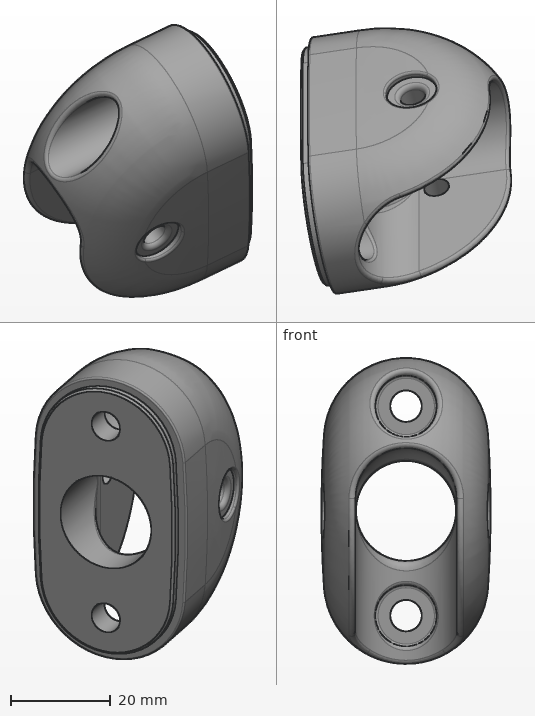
import cadquery as cq
import math

half_height = 30.7
end_radius = 16.5
side_arc_half_height = 15.3

plinth_inset = 1.85
plinth_depth = 1.85
plinth_chamfer = 0.5
back_edge_fillet = 0.35
dome_depth = 11.7

bore_radius = 10.0
channel_radius = 10.15
channel_axis_depth = 19.3
channel_top_center = 2.45
bore_to_channel_fillet = 1.95
rim_fillet = 0.8

screw_spacing = 42.0
screw_hole_diameter = 6.25
screw_recess_diameter = 12.3
screw_recess_floor_depth = 6.15
screw_recess_floor_fillet = 0.5

set_screw_depth = 22.9
set_screw_diameter = 5.05
set_screw_recess_diameter = 10.2
set_screw_recess_x = 15.35
set_screw_hole_fillet = 1.05
set_screw_rim_fillet = 0.5

end_center = half_height - end_radius
tangent_angle = math.asin((side_arc_half_height - end_center) / end_radius)
joint_x = end_radius * math.cos(tangent_angle)
side_radius = side_arc_half_height / math.sin(tangent_angle)
side_center_x = joint_x - side_radius * math.cos(tangent_angle)
half_width = side_center_x + side_radius

screw_heights = (screw_spacing / 2, -screw_spacing / 2)
cut_reach = 2 * half_height


def make_outline(depth):
    """Oval of two end arcs and two bowed sides, in the XZ plane."""
    joint_z = side_arc_half_height
    return (
        cq.Workplane("XZ", origin=(0, -depth, 0))
        .moveTo(joint_x, -joint_z)
        .threePointArc((half_width, 0), (joint_x, joint_z))
        .threePointArc((0, half_height), (-joint_x, joint_z))
        .threePointArc((-half_width, 0), (-joint_x, -joint_z))
        .threePointArc((0, -half_height), (joint_x, -joint_z))
        .close()
    )


def make_plinth():
    """Smaller step against the wall, following the outline at a constant inset."""
    plinth = make_outline(0).offset2D(-plinth_inset).extrude(plinth_depth)
    return plinth.faces(">Y").edges().chamfer(plinth_chamfer)


def make_band():
    """Straight-walled part of the housing."""
    band = make_outline(plinth_depth).extrude(dome_depth - plinth_depth)
    return band.faces(">Y").edges().fillet(back_edge_fillet)


def make_dome():
    """Upper half of the outline turned half a revolution about the X direction."""
    joint_z = side_arc_half_height
    side_mid_x = side_center_x + side_radius * math.cos(tangent_angle / 2)
    side_mid_z = side_radius * math.sin(tangent_angle / 2)
    return (
        cq.Workplane("XZ", origin=(0, -dome_depth, 0))
        .moveTo(half_width, 0)
        .threePointArc((side_mid_x, side_mid_z), (joint_x, joint_z))
        .threePointArc((0, half_height), (-joint_x, joint_z))
        .threePointArc((-side_mid_x, side_mid_z), (-half_width, 0))
        .close()
        .revolve(180, (0, 0, 0), (1, 0, 0))
    )


def make_rod(radius, start_depth, end_depth, z=0):
    """Cylinder along Y between two depths."""
    return (
        cq.Workplane("XZ", origin=(0, -start_depth, z))
        .circle(radius)
        .extrude(end_depth - start_depth)
    )


def make_channel():
    """Vertical channel with a spherical top, opened towards -Y by an arched slot."""
    axis = cq.Workplane("XY", origin=(0, -channel_axis_depth, channel_top_center))
    tube = axis.circle(channel_radius).extrude(-cut_reach)
    end = axis.sphere(channel_radius)
    slot = (
        cq.Workplane("XZ", origin=(0, -channel_axis_depth, channel_top_center))
        .moveTo(channel_radius, 0)
        .threePointArc((0, channel_radius), (-channel_radius, 0))
        .lineTo(-channel_radius, -cut_reach)
        .lineTo(channel_radius, -cut_reach)
        .close()
        .extrude(cut_reach)
    )
    return tube.union(end).union(slot)


def make_passage(channel):
    """Channel joined to the wall bore, with the edge between them rounded."""
    bore = make_rod(bore_radius, 0, channel_axis_depth)
    return channel.union(bore).edges("%BSPLINE").fillet(bore_to_channel_fillet)


def make_screw_recess(z):
    """Pocket for a wall screw head, rounded at the edge of its flat floor."""
    recess = make_rod(screw_recess_diameter / 2, screw_recess_floor_depth, cut_reach, z)
    return recess.faces(">Y").edges().fillet(screw_recess_floor_fillet)


def make_set_screw_cutter():
    """Hole along +X that flares smoothly into the floor of its recess."""
    hole_plane = cq.Workplane("YZ", origin=(0, -set_screw_depth, 0))
    hole = hole_plane.circle(set_screw_diameter / 2).extrude(set_screw_recess_x)
    recess = (
        hole_plane.workplane(offset=set_screw_recess_x)
        .circle(set_screw_recess_diameter / 2)
        .extrude(cut_reach)
    )
    floor_edge = cq.selectors.RadiusNthSelector(0)
    return hole.union(recess).faces("<X[1]").edges(floor_edge).fillet(set_screw_hole_fillet)


def cut_front_openings(part, channel):
    """Channel mouth and screw recesses; their curved rims are the only spline edges."""
    part = part.cut(channel)
    for z in screw_heights:
        part = part.cut(make_screw_recess(z))
    return part.edges("%BSPLINE").fillet(rim_fillet)


def cut_set_screws(part):
    """Set screw holes through both cheeks, with rounded recess rims."""
    cutter = make_set_screw_cutter()
    part = part.cut(cutter).cut(cutter.mirror("YZ"))
    rims = part.edges("%BSPLINE").filter(lambda edge: abs(edge.Center().x) > set_screw_recess_x)
    return rims.fillet(set_screw_rim_fillet)


channel = make_channel()
housing = cut_front_openings(make_band().union(make_dome()), channel)
housing = housing.union(make_plinth()).cut(make_passage(channel))
for z in screw_heights:
    housing = housing.cut(make_rod(screw_hole_diameter / 2, 0, cut_reach, z))
result = cut_set_screws(housing)